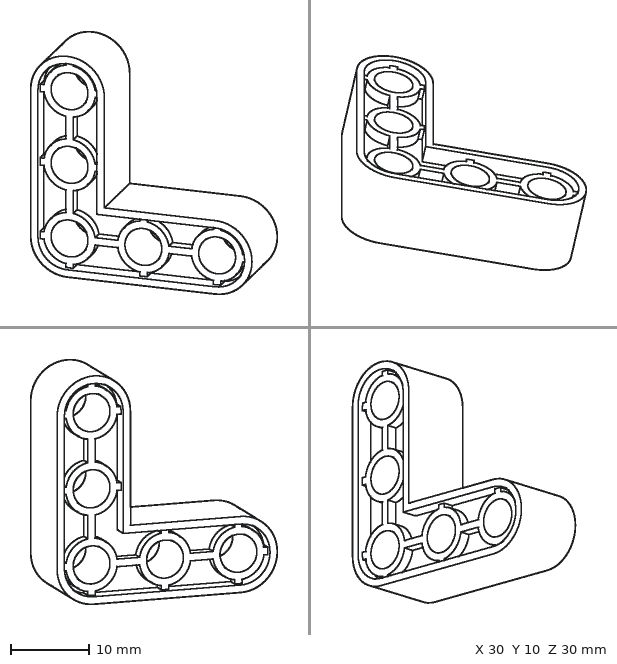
import cadquery as cq

length = 30.0
holes_per_leg = 3
pitch = length / holes_per_leg
hole_diameter = pitch / 2
wall = pitch / 10
rib_width = pitch / 10
tube_diameter = 0.7 * pitch
pocket_depth = 2.3
tube_recess = 0.8

end_radius = pitch / 2
leg_span = (holes_per_leg - 1) * pitch

hole_centers = [(i * pitch, 0) for i in range(holes_per_leg)]
hole_centers += [(0, i * pitch) for i in range(1, holes_per_leg)]


def face_plane(depth):
    """Plane parallel to the pocketed face, with local Z pointing out of the part."""
    return cq.Workplane("XZ", origin=(0, depth, 0))


def l_prism(radius, front, back):
    """Solid L with rounded ends and outer corner, between two depths."""
    diagonal = radius * 0.5**0.5
    return (
        face_plane(back)
        .moveTo(0, -radius)
        .lineTo(leg_span, -radius)
        .threePointArc((leg_span + radius, 0), (leg_span, radius))
        .lineTo(radius, radius)
        .lineTo(radius, leg_span)
        .threePointArc((0, leg_span + radius), (-radius, leg_span))
        .lineTo(-radius, 0)
        .threePointArc((-diagonal, -diagonal), (0, -radius))
        .close()
        .extrude(back - front)
    )


def tubes_and_ribs():
    """Tube around every hole, with a cross of ribs reaching its neighbours and the rim."""
    height = pocket_depth - tube_recess
    floor = face_plane(pocket_depth).pushPoints(hole_centers)
    tubes = floor.circle(tube_diameter / 2).extrude(height)
    across = floor.rect(pitch, rib_width).extrude(height)
    upright = floor.rect(rib_width, pitch).extrude(height)
    return tubes.union(across).union(upright)


pocket = l_prism(end_radius - wall, 0, pocket_depth)
holes = face_plane(pitch).pushPoints(hole_centers).circle(hole_diameter / 2).extrude(pitch)

body = l_prism(end_radius, 0, pitch).cut(pocket)
result = body.union(tubes_and_ribs().intersect(pocket)).cut(holes)